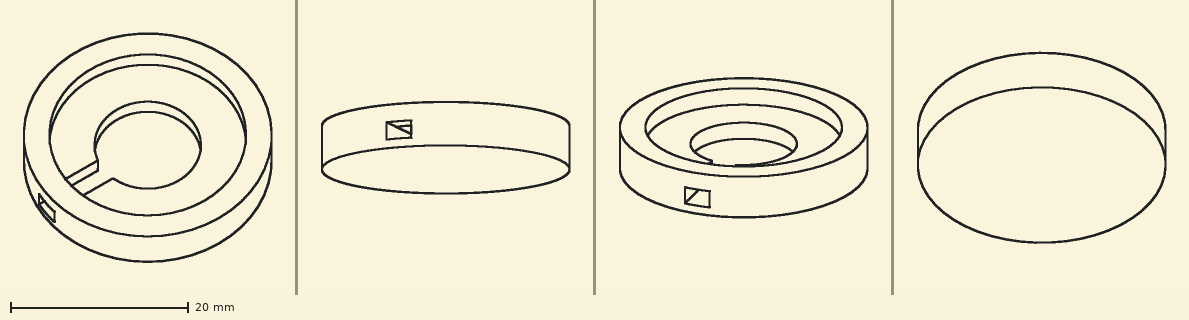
import cadquery as cq

outer_diameter = 28.0
height = 5.0
pocket_diameter = 22.2
recess_diameter = 12.0
channel_width = 3.0
base_thickness = 1.0
step_depth = 2.0

pocket_floor = base_thickness + step_depth


def disc(diameter, bottom, top):
    """Upright cylinder on the Z axis between two heights."""
    return cq.Workplane("XY").workplane(offset=bottom).circle(diameter / 2).extrude(top - bottom)


def wire_channel():
    """Radial channel from the centre out through the -Y wall."""
    return (
        cq.Workplane("XY")
        .workplane(offset=base_thickness)
        .rect(channel_width, outer_diameter)
        .extrude(step_depth)
        .translate((0, -outer_diameter / 2, 0))
    )


body = disc(outer_diameter, 0, height)
pocket = disc(pocket_diameter, pocket_floor, height)
recess = disc(recess_diameter, base_thickness, pocket_floor)

result = body.cut(pocket).cut(recess).cut(wire_channel())